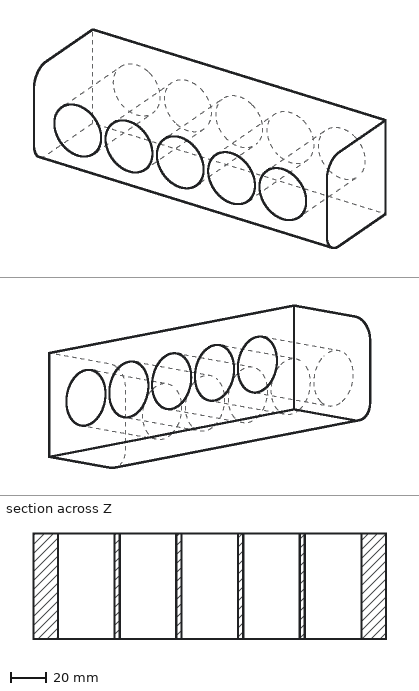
import cadquery as cq

length = 200.0
depth = 60.0
height = 60.0
front_edge_radius = 12.0

hole_count = 5
hole_diameter = 32.0
hole_pitch = 35.0

bar = cq.Workplane("XY").box(length, depth, height)
bar = bar.faces("<Y").edges("|X").fillet(front_edge_radius)

result = (
    bar.faces("<Y")
    .workplane(centerOption="CenterOfBoundBox")
    .rarray(hole_pitch, 2, hole_count, 1)
    .hole(hole_diameter)
)